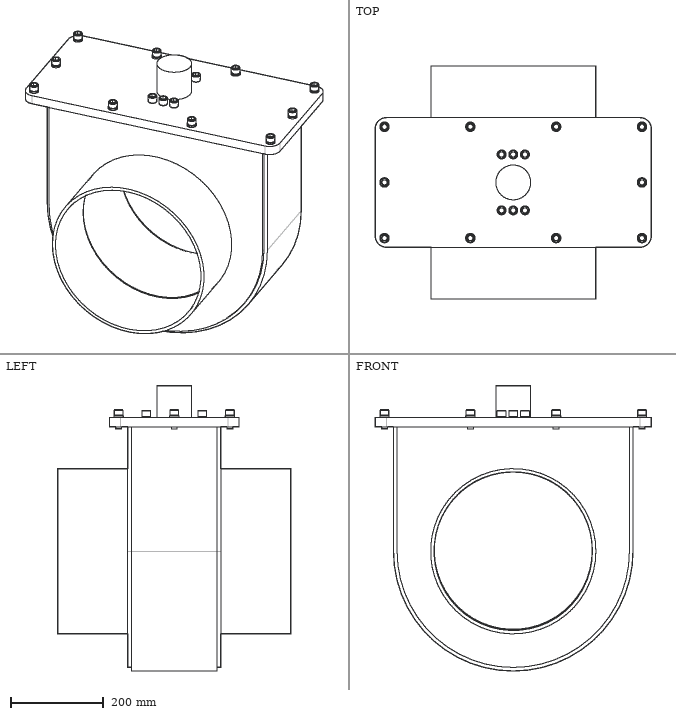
import cadquery as cq
import math


pipe_length = 502.0
pipe_diameter = 356.0
pipe_bore = 341.0
seat_bore = 340.0
seat_rise = 2.0

rim_radius = 258.0
rim_width = 185.0
plate_inset = 8.0
plate_thickness = 8.0
housing_width = rim_width + 2 * plate_thickness

overall_height = 614.5
cover_length = 595.0
cover_width = 279.5
cover_thickness = 20.0
cover_corner_radius = 24.5
boss_diameter = 75.0
boss_height = 68.0
boss_top = overall_height - rim_radius
cover_top = boss_top - boss_height
cover_bottom = cover_top - cover_thickness

head_diameter = 19.0
head_chamfer = 1.0
head_chamfer_height = 2.0
socket_across_corners = 13.0
socket_depth = 6.0
socket_point_depth = 3.5
washer_diameter = 20.0
washer_thickness = 3.0
cover_head_height = 13.5
gland_head_height = 15.5
shank_diameter = 13.0
shank_projection = 4.0

cover_screw_x = 277.0
cover_screw_inner_x = cover_screw_x / 3
cover_screw_y = 120.0
gland_screw_pitch = 25.0
gland_screw_y = 60.0

cover_screw_points = [(side * cover_screw_x, 0) for side in (-1, 1)]
for row_y in (-cover_screw_y, cover_screw_y):
    for x in (-cover_screw_x, -cover_screw_inner_x, cover_screw_inner_x, cover_screw_x):
        cover_screw_points.append((x, row_y))

gland_screw_points = []
for row_y in (-gland_screw_y, gland_screw_y):
    for x in (-gland_screw_pitch, 0, gland_screw_pitch):
        gland_screw_points.append((x, row_y))


def y_cylinder(diameter, length):
    """Cylinder on the pipe axis, centred on the origin."""
    return cq.Workplane("XZ").circle(diameter / 2).extrude(length / 2, both=True)


def u_block(radius, width):
    """Block with a round bottom and straight sides up to the cover."""
    return (
        cq.Workplane("XZ")
        .moveTo(-radius, cover_bottom)
        .lineTo(-radius, 0)
        .threePointArc((0, -radius), (radius, 0))
        .lineTo(radius, cover_bottom)
        .close()
        .extrude(width / 2, both=True)
    )


def cover_plate():
    """Rounded rectangular cover with the round boss on top."""
    plate = (
        cq.Workplane("XY", origin=(0, 0, cover_bottom))
        .rect(cover_length, cover_width)
        .extrude(cover_thickness)
        .edges("|Z")
        .fillet(cover_corner_radius)
    )
    boss = (
        cq.Workplane("XY", origin=(0, 0, cover_top))
        .circle(boss_diameter / 2)
        .extrude(boss_height)
    )
    return plate.union(boss)


def screw_heads(points, seat_z, height):
    """Socket heads on the level seat_z, chamfered at both ends, with drill-pointed hexagon sockets."""
    radius = head_diameter / 2
    end_radius = radius - head_chamfer
    head = (
        cq.Workplane("XZ")
        .polyline([
            (0, 0),
            (end_radius, 0),
            (radius, head_chamfer_height),
            (radius, height - head_chamfer_height),
            (end_radius, height),
            (0, height),
        ])
        .close()
        .revolve(360, (0, 0, 0), (0, 1, 0))
    )
    socket = (
        cq.Workplane("XY", origin=(0, 0, height))
        .polygon(6, socket_across_corners)
        .extrude(-socket_depth)
    )
    point_radius = socket_across_corners / 2 * math.cos(math.pi / 6)
    point = cq.Workplane(
        cq.Solid.makeCone(
            point_radius, 0, socket_point_depth, cq.Vector(0, 0, height - socket_depth), cq.Vector(0, 0, -1)
        )
    )
    head = head.cut(socket).cut(point)
    return cq.Workplane("XY", origin=(0, 0, seat_z)).pushPoints(points).eachpoint(
        lambda place: head.val().located(place), combine=False
    )


def discs(points, diameter, base_z, height):
    """Equal round discs at the given points."""
    return (
        cq.Workplane("XY", origin=(0, 0, base_z))
        .pushPoints(points)
        .circle(diameter / 2)
        .extrude(height)
    )


housing = u_block(rim_radius, rim_width).union(u_block(rim_radius - plate_inset, housing_width))
body = housing.union(y_cylinder(pipe_diameter, pipe_length))
pipe_ends = y_cylinder(pipe_bore, pipe_length).cut(y_cylinder(pipe_diameter, housing_width))
seat = y_cylinder(seat_bore, housing_width).translate((0, 0, seat_rise))
body = body.cut(pipe_ends).cut(seat)

washers = discs(cover_screw_points, washer_diameter, cover_top, washer_thickness)
cover_heads = screw_heads(cover_screw_points, cover_top + washer_thickness, cover_head_height)
shank_ends = discs(cover_screw_points, shank_diameter, cover_bottom, -shank_projection)

gland_heads = screw_heads(gland_screw_points, cover_top, gland_head_height)

result = body.union(cover_plate())
for screw_parts in (washers, cover_heads, shank_ends, gland_heads):
    result = result.union(screw_parts)